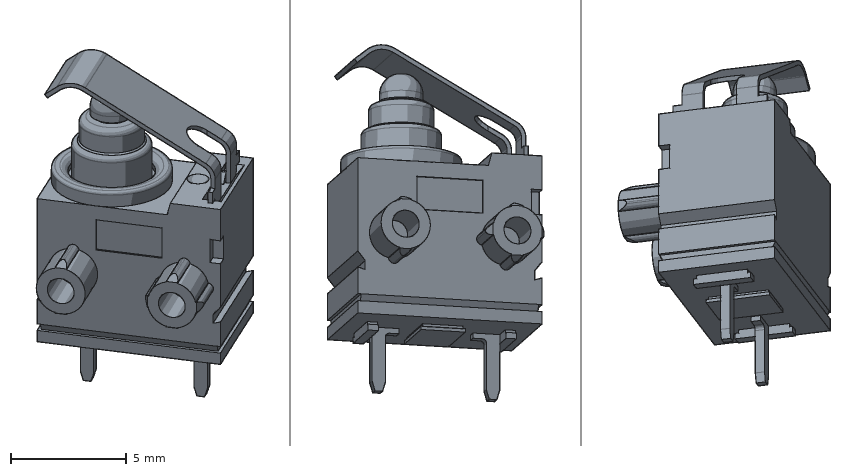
import cadquery as cq
import math


BODY_LENGTH = 8.25
BODY_DEPTH = 5.25
HALF_LENGTH = BODY_LENGTH / 2
HALF_DEPTH = BODY_DEPTH / 2
SHELF_Z = 6.91
HOUSING_TOP = 7.48
STEP_FOOT_X = 1.72
STEP_HEAD_X = 1.87

NOTCH_DEPTH = 0.33
NOTCH_TOP = 2.76
NOTCH_SLOPE_END = 2.35
NOTCH_INNER_FLOOR = 1.95
NOTCH_OUTER_FLOOR = 2.05

GROOVE_DEPTH = 0.15
GROOVE_BOTTOM = 0.55
GROOVE_TOP = 0.86

PANEL_SIZE = (2.97, 1.46)
PANEL_Z = 5.51
PANEL_DEPTH = 0.1
CORNER_POCKET_LENGTH = 0.48
CORNER_POCKET_DEPTH = 0.5
CORNER_POCKET_BOTTOM = 4.86
CORNER_POCKET_TOP = 5.97

DIMPLE_X = 2.375
DIMPLE_RADIUS = 0.575
DIMPLE_DEPTH = 0.25

PLUNGER_X = -1.5
COLLAR_RADIUS = BODY_DEPTH / 2
COLLAR_TOP = 7.62
COLLAR_ROUND = 0.15
MOUTH_RADIUS = 4.5 / 2
MOUTH_ROUND = 0.38
MOUTH_SWEEP = math.radians(70)
MOUTH_FLOOR = 7.15
LOWER_TIER_RADIUS = 3.5 / 2
LOWER_TIER_TOP = 8.84
UPPER_TIER_RADIUS = 2.85 / 2
UPPER_TIER_TOP = 10.0
LOWER_TIER_ROUND = 0.24
TIER_FOOT = 0.07
UPPER_TIER_ROUND = 0.3
NECK_RADIUS = 0.75
DOME_RADIUS = 1.9 / 2
DOME_BOTTOM = 10.14
DOME_EQUATOR = 10.44
DOME_TOP = 11.3

SHEET = 0.2
LEVER_WIDTH = 3.44
LEVER_TOP = 12.22
LEVER_TIP_X = -4.04
LEVER_LEG_X = 3.635
LEVER_SLOPE = math.radians(28.4)
LEVER_TIP_SLOPE = math.radians(38.7)
CREST_X = -2.76
CREST_RADIUS = 1.16
KNEE_RADIUS = 0.8
EAR_SPAN = 4.26
EAR_TOP = 8.0
SLOT_WIDTH = 1.51
SLOT_START_X = 1.905

SEAT_START_X = 3.105
SEAT_END_X = 3.945
SEAT_WIDTH = 3.71
SEAT_DEPTH = 0.4
SEAT_TAPER = 37
RAMP_FOOT_Y = 0.57
RAMP_HEAD_Y = 0.97
RAMP_BACK_Y = 1.1
RAMP_LENGTH = 0.26

BOSS_SPACING = 5.0
BOSS_Z = 3.61
BOSS_RADIUS = 1.1
BOSS_LENGTH = 2.0
BOSS_BORE = 1.2
RIB_REACH = 1.31
RIB_BASE_WIDTH = 0.52
RIB_CREST_WIDTH = 0.07
RIB_FLANK_MID = (0.165, 1.24)
RIB_ROOT_OVERLAP = 0.1
RIB_TAPER_LENGTH = 0.45

PIN_X = 2.555
PIN_WIDTH = 0.6
PIN_THICKNESS = 0.42
PIN_TIP_WIDTH = 0.34
PIN_TIP_LENGTH = 0.42
PIN_LENGTHS = {-1: 2.83, 1: 2.9}
ARM_LENGTH = 0.6
ARM_HEIGHT = 0.23
ARM_FILLET = 0.18
FOOT_LENGTH = 0.46
FOOT_WIDTH = 2.6
FOOT_NECK_WIDTH = 2.3
FOOT_NECK_HEIGHT = 0.15
FOOT_HEIGHT = 0.41
LUG_NECK = (1.8, 2.72, 0.13)
LUG_FLANGE = (1.98, 2.88, 0.15)


def box(x0, x1, y0, y1, z0, z1):
    """Axis-aligned box between two opposite corners."""
    return cq.Workplane("XY").box(x1 - x0, y1 - y0, z1 - z0, centered=False).translate((x0, y0, z0))


def on_circle(centre, radius, angle):
    """XZ point on a circle; the angle is measured clockwise from +Z."""
    return (centre[0] + radius * math.sin(angle), centre[1] + radius * math.cos(angle))


def extrude_along_y(outline, width):
    """Close an XZ outline and extrude it symmetrically about Y = 0."""
    return outline.close().extrude(width / 2, both=True)


def make_housing():
    outline = (
        cq.Workplane("XZ")
        .moveTo(-HALF_LENGTH, 0)
        .lineTo(HALF_LENGTH, 0)
        .lineTo(HALF_LENGTH, HOUSING_TOP)
        .lineTo(STEP_HEAD_X, HOUSING_TOP)
        .lineTo(STEP_FOOT_X, SHELF_Z)
        .lineTo(-HALF_LENGTH, SHELF_Z)
    )
    housing = extrude_along_y(outline, BODY_DEPTH)

    for side in (-1, 1):
        notch = (
            cq.Workplane("XZ")
            .moveTo(side * HALF_LENGTH, NOTCH_TOP)
            .lineTo(side * (HALF_LENGTH - NOTCH_DEPTH), NOTCH_SLOPE_END)
            .lineTo(side * (HALF_LENGTH - NOTCH_DEPTH), NOTCH_INNER_FLOOR)
            .lineTo(side * HALF_LENGTH, NOTCH_OUTER_FLOOR)
        )
        housing = housing.cut(extrude_along_y(notch, BODY_DEPTH))

    return housing.cut(make_base_groove()).cut(make_panel()).cut(make_corner_pocket())


def make_base_groove():
    """Groove round all four walls: square across the ends, with a sloping face along the sides."""
    ring = box(-HALF_LENGTH, HALF_LENGTH, -HALF_DEPTH, HALF_DEPTH, GROOVE_BOTTOM, GROOVE_TOP)
    core = (
        cq.Workplane("XY", origin=(0, 0, GROOVE_BOTTOM))
        .rect(BODY_LENGTH - 2 * GROOVE_DEPTH, BODY_DEPTH - 2 * GROOVE_DEPTH)
        .workplane(offset=GROOVE_TOP - GROOVE_BOTTOM)
        .rect(BODY_LENGTH - 2 * GROOVE_DEPTH, BODY_DEPTH)
        .loft(ruled=True)
    )
    return ring.cut(core)


def make_panel():
    length, height = PANEL_SIZE
    return box(
        -length / 2, length / 2,
        -HALF_DEPTH, -HALF_DEPTH + PANEL_DEPTH,
        PANEL_Z - height / 2, PANEL_Z + height / 2,
    )


def make_corner_pocket():
    return box(
        HALF_LENGTH - CORNER_POCKET_LENGTH, HALF_LENGTH,
        -HALF_DEPTH, -HALF_DEPTH + CORNER_POCKET_DEPTH,
        CORNER_POCKET_BOTTOM, CORNER_POCKET_TOP,
    )


def make_dimple():
    centre_z = HOUSING_TOP + DIMPLE_RADIUS - DIMPLE_DEPTH
    return cq.Workplane("XY").sphere(DIMPLE_RADIUS).translate((DIMPLE_X, 0, centre_z))


def make_lever_seat():
    """Pocket with a plumb inner wall; the outer wall and both ends are tapered."""
    reach = SEAT_END_X - SEAT_START_X
    tapered = (
        cq.Workplane("XY", origin=(SEAT_START_X, 0, HOUSING_TOP))
        .rect(2 * reach, SEAT_WIDTH)
        .extrude(-SEAT_DEPTH, taper=SEAT_TAPER)
    )
    outer_half = box(
        SEAT_START_X, SEAT_END_X, -SEAT_WIDTH / 2, SEAT_WIDTH / 2, HOUSING_TOP - SEAT_DEPTH, HOUSING_TOP
    )
    seat = tapered.intersect(outer_half)
    for side in (-1, 1):
        seat = seat.cut(make_seat_ramp(side))
    return seat


def make_seat_ramp(side):
    """Sloped block left standing against the inner wall of the lever seat."""
    seat_floor = HOUSING_TOP - SEAT_DEPTH
    return (
        cq.Workplane("YZ", origin=(SEAT_START_X, 0, 0))
        .moveTo(side * RAMP_FOOT_Y, seat_floor)
        .lineTo(side * RAMP_HEAD_Y, HOUSING_TOP)
        .lineTo(side * RAMP_BACK_Y, HOUSING_TOP)
        .lineTo(side * RAMP_BACK_Y, seat_floor)
        .close()
        .extrude(RAMP_LENGTH)
    )


def make_plunger():
    """Collar with a rounded mouth, two rounded tiers, neck and dome as one turned profile."""
    diagonal = math.sqrt(0.5)
    dome_flat = math.sqrt(DOME_RADIUS**2 - (DOME_TOP - DOME_EQUATOR) ** 2)
    dome_mid = math.atan2(DOME_TOP - DOME_EQUATOR, dome_flat) / 2
    mouth_centre = (MOUTH_RADIUS, COLLAR_TOP - MOUTH_ROUND)
    mouth_mid = on_circle(mouth_centre, MOUTH_ROUND, -MOUTH_SWEEP / 2)
    throat = on_circle(mouth_centre, MOUTH_ROUND, -MOUTH_SWEEP)

    def round_corner(profile, radius, top, rounding):
        """Climb to a convex corner at (radius, top) and round it over."""
        inner = radius - rounding
        base = top - rounding
        return (
            profile.lineTo(radius, base)
            .threePointArc((inner + rounding * diagonal, base + rounding * diagonal), (inner, top))
        )

    profile = cq.Workplane("XZ").moveTo(0, SHELF_Z).lineTo(COLLAR_RADIUS, SHELF_Z)
    profile = round_corner(profile, COLLAR_RADIUS, COLLAR_TOP, COLLAR_ROUND)
    profile = (
        profile.lineTo(MOUTH_RADIUS, COLLAR_TOP)
        .threePointArc(mouth_mid, throat)
        .lineTo(throat[0], MOUTH_FLOOR)
        .lineTo(LOWER_TIER_RADIUS, MOUTH_FLOOR)
    )
    profile = round_corner(profile, LOWER_TIER_RADIUS, LOWER_TIER_TOP, LOWER_TIER_ROUND)
    profile = profile.lineTo(UPPER_TIER_RADIUS + TIER_FOOT, LOWER_TIER_TOP)
    profile = profile.lineTo(UPPER_TIER_RADIUS, LOWER_TIER_TOP + TIER_FOOT)
    profile = round_corner(profile, UPPER_TIER_RADIUS, UPPER_TIER_TOP, UPPER_TIER_ROUND)
    profile = (
        profile.lineTo(NECK_RADIUS, UPPER_TIER_TOP)
        .lineTo(NECK_RADIUS, DOME_BOTTOM)
        .lineTo(DOME_RADIUS, DOME_BOTTOM)
        .lineTo(DOME_RADIUS, DOME_EQUATOR)
        .threePointArc(
            (DOME_RADIUS * math.cos(dome_mid), DOME_EQUATOR + DOME_RADIUS * math.sin(dome_mid)),
            (dome_flat, DOME_TOP),
        )
        .lineTo(0, DOME_TOP)
        .close()
    )
    return profile.revolve(360, (0, 0, 0), (0, 1, 0)).translate((PLUNGER_X, 0, 0))


def make_lever():
    crest = (CREST_X, LEVER_TOP - CREST_RADIUS)
    slope_start = on_circle(crest, CREST_RADIUS, LEVER_SLOPE)
    tip_bend = on_circle(crest, CREST_RADIUS, -LEVER_TIP_SLOPE)

    knee_x = LEVER_LEG_X - KNEE_RADIUS
    slope_end_x = knee_x + KNEE_RADIUS * math.sin(LEVER_SLOPE)
    slope_end_z = slope_start[1] - (slope_end_x - slope_start[0]) * math.tan(LEVER_SLOPE)
    knee = (knee_x, slope_end_z - KNEE_RADIUS * math.cos(LEVER_SLOPE))
    knee_mid_angle = (LEVER_SLOPE + math.pi / 2) / 2

    tip = (LEVER_TIP_X, tip_bend[1] - (tip_bend[0] - LEVER_TIP_X) * math.tan(LEVER_TIP_SLOPE))
    tip_inner = on_circle(tip, -SHEET, -LEVER_TIP_SLOPE)
    crest_inner = CREST_RADIUS - SHEET
    knee_inner = KNEE_RADIUS - SHEET
    leg_bottom = HOUSING_TOP - SEAT_DEPTH

    outline = (
        cq.Workplane("XZ")
        .moveTo(*tip)
        .lineTo(*tip_bend)
        .threePointArc((CREST_X, LEVER_TOP), slope_start)
        .lineTo(slope_end_x, slope_end_z)
        .threePointArc(on_circle(knee, KNEE_RADIUS, knee_mid_angle), (LEVER_LEG_X, knee[1]))
        .lineTo(LEVER_LEG_X, leg_bottom)
        .lineTo(LEVER_LEG_X - SHEET, leg_bottom)
        .lineTo(LEVER_LEG_X - SHEET, knee[1])
        .threePointArc(
            on_circle(knee, knee_inner, knee_mid_angle), on_circle(knee, knee_inner, LEVER_SLOPE)
        )
        .lineTo(*on_circle(crest, crest_inner, LEVER_SLOPE))
        .threePointArc(
            (CREST_X, LEVER_TOP - SHEET), on_circle(crest, crest_inner, -LEVER_TIP_SLOPE)
        )
        .lineTo(*tip_inner)
    )
    lever = extrude_along_y(outline, LEVER_WIDTH)

    slot_radius = SLOT_WIDTH / 2
    round_x = SLOT_START_X + slot_radius * math.cos(LEVER_SLOPE)
    round_z = slope_start[1] - (round_x - slope_start[0]) * math.tan(LEVER_SLOPE)
    round_end = (
        cq.Workplane("XY")
        .circle(slot_radius)
        .extrude(2 * SHEET, both=True)
        .rotate((0, 0, 0), (0, 1, 0), math.degrees(LEVER_SLOPE))
        .translate((round_x, 0, round_z))
    )
    opening = box(round_x, LEVER_LEG_X, -slot_radius, slot_radius, leg_bottom, LEVER_TOP)
    lever = lever.cut(round_end)

    leg_inner_x = LEVER_LEG_X - SHEET
    ears = box(leg_inner_x, LEVER_LEG_X, -EAR_SPAN / 2, EAR_SPAN / 2, HOUSING_TOP, EAR_TOP)
    return lever.union(ears).cut(opening)


def make_boss_rib():
    """Upward-pointing rib along a boss, bevelled down to the boss surface at its free end."""
    flank_x, flank_z = RIB_FLANK_MID
    root_z = BOSS_RADIUS - RIB_ROOT_OVERLAP
    rib = (
        cq.Workplane("XZ")
        .moveTo(-RIB_BASE_WIDTH / 2, root_z)
        .lineTo(RIB_BASE_WIDTH / 2, root_z)
        .lineTo(RIB_BASE_WIDTH / 2, BOSS_RADIUS)
        .threePointArc((flank_x, flank_z), (RIB_CREST_WIDTH / 2, RIB_REACH))
        .lineTo(-RIB_CREST_WIDTH / 2, RIB_REACH)
        .threePointArc((-flank_x, flank_z), (-RIB_BASE_WIDTH / 2, BOSS_RADIUS))
        .close()
        .extrude(BOSS_LENGTH)
    )
    bevel = (
        cq.Workplane("YZ")
        .moveTo(-BOSS_LENGTH, BOSS_RADIUS)
        .lineTo(-BOSS_LENGTH, RIB_REACH)
        .lineTo(-BOSS_LENGTH + RIB_TAPER_LENGTH, RIB_REACH)
        .close()
        .extrude(RIB_BASE_WIDTH / 2, both=True)
    )
    return rib.cut(bevel)


def make_boss(centre_x, rib_angles):
    boss = cq.Workplane("XZ").circle(BOSS_RADIUS).extrude(BOSS_LENGTH)
    for angle in rib_angles:
        boss = boss.union(make_boss_rib().rotate((0, 0, 0), (0, 1, 0), angle))
    boss = boss.cut(cq.Workplane("XZ").circle(BOSS_BORE / 2).extrude(BOSS_LENGTH))
    return boss.translate((centre_x, -HALF_DEPTH, BOSS_Z))


def make_terminal(side):
    """Pin with an inward arm and a stepped foot on its outer flank."""
    length = PIN_LENGTHS[side]
    inner_x = PIN_X - PIN_WIDTH / 2
    outer_x = PIN_X + PIN_WIDTH / 2
    arm_x = inner_x - ARM_LENGTH
    fillet_mid = ARM_FILLET * (1 - math.sqrt(0.5))
    outline = (
        cq.Workplane("XZ")
        .moveTo(side * arm_x, 0)
        .lineTo(side * arm_x, -ARM_HEIGHT)
        .lineTo(side * (inner_x - ARM_FILLET), -ARM_HEIGHT)
        .threePointArc(
            (side * (inner_x - fillet_mid), -ARM_HEIGHT - fillet_mid),
            (side * inner_x, -ARM_HEIGHT - ARM_FILLET),
        )
        .lineTo(side * inner_x, PIN_TIP_LENGTH - length)
        .lineTo(side * (PIN_X - PIN_TIP_WIDTH / 2), -length)
        .lineTo(side * (PIN_X + PIN_TIP_WIDTH / 2), -length)
        .lineTo(side * outer_x, PIN_TIP_LENGTH - length)
        .lineTo(side * outer_x, 0)
    )
    pin = extrude_along_y(outline, PIN_THICKNESS)

    foot_x = sorted((side * outer_x, side * (outer_x + FOOT_LENGTH)))
    neck = box(*foot_x, -FOOT_NECK_WIDTH / 2, FOOT_NECK_WIDTH / 2, -FOOT_NECK_HEIGHT, 0)
    sole = box(*foot_x, -FOOT_WIDTH / 2, FOOT_WIDTH / 2, -FOOT_HEIGHT, -FOOT_NECK_HEIGHT)
    return pin.union(neck).union(sole)


def make_lug():
    neck = cq.Workplane("XY").box(*LUG_NECK, centered=(True, True, False))
    flange = cq.Workplane("XY").box(*LUG_FLANGE, centered=(True, True, False))
    neck_height = LUG_NECK[2]
    flange_height = LUG_FLANGE[2]
    return neck.translate((0, 0, -neck_height)).union(flange.translate((0, 0, -neck_height - flange_height)))


result = make_housing().cut(make_dimple()).cut(make_lever_seat())
result = result.union(make_plunger()).union(make_lever())
result = result.union(make_boss(-BOSS_SPACING / 2, (0, 180)))
result = result.union(make_boss(BOSS_SPACING / 2, (0, 90, 180, 270)))
for pin_side in PIN_LENGTHS:
    result = result.union(make_terminal(pin_side))
result = result.union(make_lug())